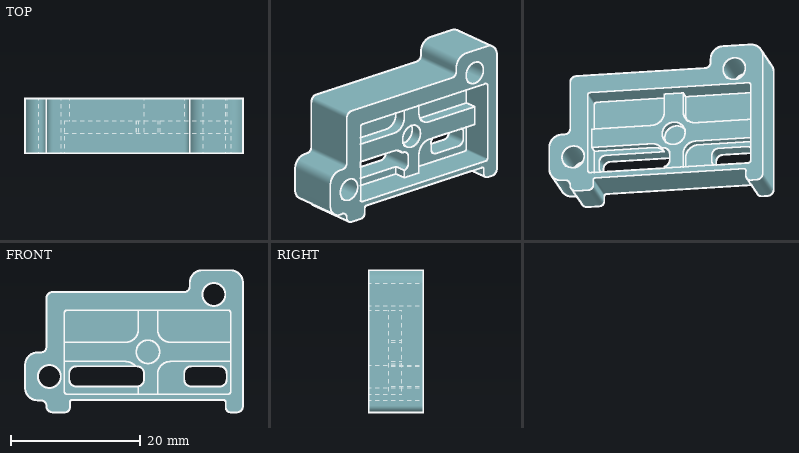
import cadquery as cq

length = 33.7
depth = 8.5
height = 22.0

body_left = 3.3
body_top = 18.63
upper_lug_left = 25.45
lower_lug_bottom = 1.85
lower_lug_top = 9.3
left_foot_right = 6.97
right_foot_left = 31.0
foot_height = 1.92
lug_radius = 2.0
corner_radius = 1.0
inner_corner_radius = 0.8
foot_root_radius = 0.3

lug_hole_diameter = 3.5
lug_holes = [(3.77, 5.55), (29.18, 18.23)]

cavity_left = 6.1
cavity_right = 31.77
cavity_bottom = 2.83
cavity_top = 15.8
cavity_radius = 0.4
cavity_depth = 5.05

rib_front = 3.05
rib_width = 2.95
rib_x = 19.0
rib_z = 9.35
rib_radius = 2.0
rib_hole_diameter = 3.6

slot_spans = [(6.87, 18.35), (24.63, 31.13)]
slot_bottom = 4.05
slot_top = 7.1
slot_radius = 1.0


def block(left, right, bottom, top, front, back):
    """Box given by its limits in x, z and y."""
    return cq.Workplane("XY").box(
        right - left, back - front, top - bottom, centered=False
    ).translate((left, front, bottom))


def rounded_block(left, right, bottom, top, front, back, radius):
    """Box with its four edges along y rounded."""
    return block(left, right, bottom, top, front, back).edges("|Y").fillet(radius)


def cylinder(x, z, diameter, front, back):
    """Round bar along y."""
    axis = cq.Vector(0, 1, 0)
    return cq.Workplane(
        cq.Solid.makeCylinder(diameter / 2, back - front, cq.Vector(x, front, z), axis)
    )


def make_body():
    """Extruded outline; every corner carries its own rounding radius."""
    corners = [
        (body_left, 0, corner_radius),
        (left_foot_right, 0, inner_corner_radius),
        (left_foot_right, foot_height, foot_root_radius),
        (right_foot_left, foot_height, foot_root_radius),
        (right_foot_left, 0, inner_corner_radius),
        (length, 0, corner_radius),
        (length, height, lug_radius),
        (upper_lug_left, height, lug_radius),
        (upper_lug_left, body_top, inner_corner_radius),
        (body_left, body_top, corner_radius),
        (body_left, lower_lug_top, inner_corner_radius),
        (0, lower_lug_top, lug_radius),
        (0, lower_lug_bottom, lug_radius),
        (body_left, lower_lug_bottom, inner_corner_radius),
    ]
    outline = [(x, z) for x, z, _ in corners]
    body = cq.Workplane("XZ").polyline(outline).close().extrude(-depth)
    for x, z, radius in corners:
        edge = cq.selectors.NearestToPointSelector((x, depth / 2, z))
        body = body.edges("|Y").edges(edge).fillet(radius)
    return body


def make_cavity():
    """Space to remove: the cavity less the cross rib, plus the hole in the rib."""
    half = rib_width / 2
    cavity = rounded_block(
        cavity_left, cavity_right, cavity_bottom, cavity_top, 0, cavity_depth, cavity_radius
    )
    across = block(cavity_left, cavity_right, rib_z - half, rib_z + half, rib_front, cavity_depth)
    upright = block(rib_x - half, rib_x + half, cavity_bottom, cavity_top, rib_front, cavity_depth)
    cross = across.union(upright)
    for x in (rib_x - half, rib_x + half):
        for z in (rib_z - half, rib_z + half):
            middle = (x, (rib_front + cavity_depth) / 2, z)
            edge = cq.selectors.NearestToPointSelector(middle)
            cross = cross.edges("|Y").edges(edge).fillet(rib_radius)
    rib_hole = cylinder(rib_x, rib_z, rib_hole_diameter, rib_front, cavity_depth)
    return cavity.cut(cross).union(rib_hole)


result = make_body().cut(make_cavity())

for hole_x, hole_z in lug_holes:
    result = result.cut(cylinder(hole_x, hole_z, lug_hole_diameter, 0, depth))

for slot_left, slot_right in slot_spans:
    result = result.cut(
        rounded_block(slot_left, slot_right, slot_bottom, slot_top, rib_front, depth, slot_radius)
    )